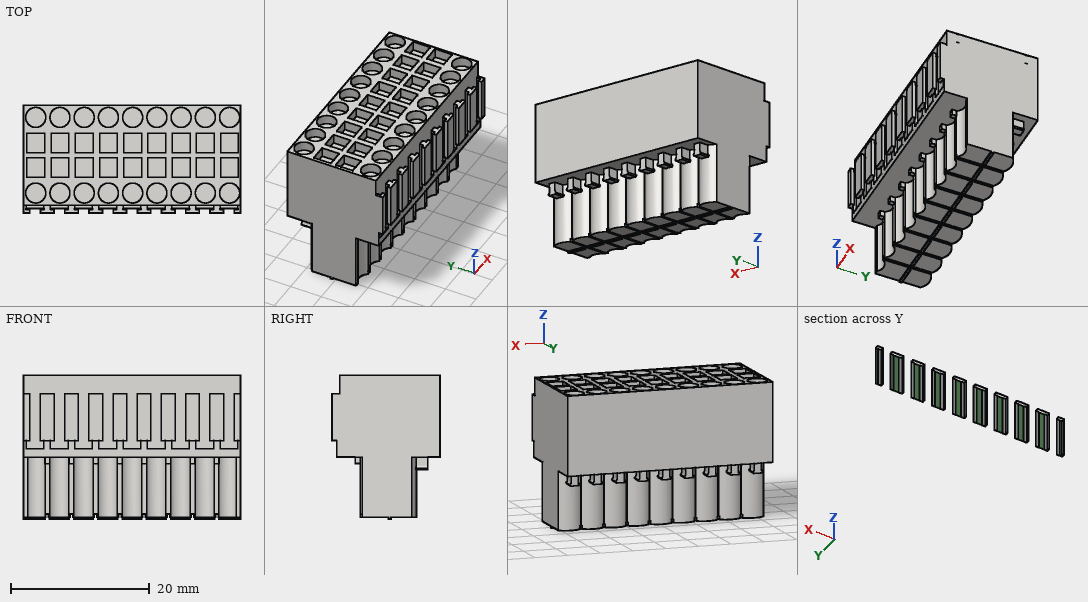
import cadquery as cq


poles = 9
length = 31.4
end_trim = 0.1
pitch = (length + end_trim) / poles
pole_xs = [(i - (poles - 1) / 2) * pitch for i in range(poles)]
wall_xs = [(i - poles / 2) * pitch for i in range(poles + 1)]
inner_wall_xs = wall_xs[1:-1]

total_height = 20.8
keel_height = 0.22
body_height = 11.85
body_bottom = total_height - body_height
plug_height = body_bottom - keel_height

body_depth = 14.5
body_front = -body_depth / 2

opening_shift = 0.1
opening_depth = 1.5
wire_hole_diameter = 2.9
wire_row_y = 5.45
test_slot_width = 2.57
test_slot_depth_y = 2.8
test_row_y = 1.8

total_depth = 15.6
lip_depth = 0.45
rail_head_depth = 0.53
neck_depth = total_depth - body_depth - rail_head_depth
rail_top = total_height - 2.67
rail_head_bottom = total_height - 9.48
channel_floor = total_height - 10.6
channel_width = 2.57
rail_head_width = 1.98

plug_front = -4.27
plug_back = 3.2
end_step_width = 0.63
end_step_depth = 0.28
scallop_radius = 1.65
scallop_depth = 0.75
end_scallop_shift = 0.1
lobe_width = pitch - end_trim
lobe_depth = 0.65
keel_width_y = 0.4
keel_gap = 0.63
notch_width = 0.35
notch_height = 0.47

rib_width = 0.7
rib_projection = 0.72
rib_height = 0.95

foot_back = 5.5
foot_web_width = 1.07
foot_width = 1.5
foot_flare_start = 1.2
foot_flare_end = 1.6
foot_height = 1.82
foot_base_width = 1.2


def block(x_range, y_range, z_range):
    """Box that fills the given (low, high) range along each axis."""
    lows, highs = zip(x_range, y_range, z_range)
    sizes = [high - low for low, high in zip(lows, highs)]
    return cq.Workplane("XY").box(*sizes, centered=False).translate(lows)


def centred(middle, width):
    return (middle - width / 2, middle + width / 2)


full_length = centred(0, length)


def make_body():
    body = block(full_length, centred(0, body_depth), (body_bottom, total_height))
    top = cq.Workplane("XY").workplane(offset=total_height)
    wire_points = [(x + opening_shift, y) for x in pole_xs for y in (-wire_row_y, wire_row_y)]
    test_points = [(x + opening_shift, y) for x in pole_xs for y in (-test_row_y, test_row_y)]
    wire_holes = top.pushPoints(wire_points).circle(wire_hole_diameter / 2).extrude(-opening_depth)
    test_slots = top.pushPoints(test_points).rect(test_slot_width, test_slot_depth_y).extrude(-opening_depth)
    return body.cut(wire_holes).cut(test_slots)


def make_rails():
    """Lip along the foot of the housing front, with a T-shaped rail rising over each wall between poles."""
    lip_front = body_front - lip_depth
    neck_front = body_front - neck_depth
    rail_front = neck_front - rail_head_depth
    rails = block(full_length, (lip_front, body_front), (body_bottom, rail_head_bottom))
    rails = rails.union(block(full_length, (neck_front, body_front), (rail_head_bottom, rail_top)))
    for x in pole_xs:
        channel_x = centred(x, channel_width)
        rails = rails.cut(block(channel_x, (neck_front, body_front), (channel_floor, rail_top)))
    for x in wall_xs:
        left, right = centred(x, rail_head_width)
        head_x = (max(left, -length / 2), min(right, length / 2))
        rails = rails.union(block(head_x, (rail_front, neck_front), (rail_head_bottom, rail_top)))
    return rails


def make_plug():
    plug = block(full_length, (plug_front, plug_back), (keel_height, body_bottom))
    base = cq.Workplane("XY").workplane(offset=keel_height)

    for x in pole_xs:
        left, right = centred(x, lobe_width)
        lobe = (
            base.moveTo(left, plug_back)
            .threePointArc((x, plug_back + lobe_depth), (right, plug_back))
            .lineTo(right, 0)
            .lineTo(left, 0)
            .close()
            .extrude(plug_height)
        )
        plug = plug.union(lobe)

    scallop_xs = [pole_xs[0] + end_scallop_shift, *pole_xs[1:-1], pole_xs[-1] - end_scallop_shift]
    scallop_y = plug_front + scallop_depth - scallop_radius
    scallop_points = [(x, scallop_y) for x in scallop_xs]
    scallops = base.pushPoints(scallop_points).circle(scallop_radius).extrude(plug_height)
    plug = plug.cut(scallops)

    for end_x in (-length / 2, length / 2):
        step_x = centred(end_x, 2 * end_step_width)
        step_y = (plug_front, plug_front + end_step_depth)
        plug = plug.cut(block(step_x, step_y, (keel_height, body_bottom)))

    keel_y = centred(0, keel_width_y)
    plug = plug.union(block(full_length, keel_y, (0, keel_height)))
    for x in inner_wall_xs:
        notch_z = (keel_height, keel_height + notch_height)
        plug = plug.cut(block(centred(x, keel_gap), keel_y, (0, keel_height)))
        plug = plug.cut(block(centred(x, notch_width), full_length, notch_z))
    return plug


def make_rib(x):
    rib_y = (plug_front - rib_projection, plug_front)
    return block(centred(x, rib_width), rib_y, (body_bottom - rib_height, body_bottom))


def make_foot(x):
    """Web hanging from the housing whose lower end flares out into a wider foot."""
    return (
        cq.Workplane("XZ", origin=(x, foot_back, body_bottom))
        .lineTo(foot_web_width / 2, 0)
        .lineTo(foot_web_width / 2, -foot_flare_start)
        .tangentArcPoint((foot_width / 2, -foot_flare_end), relative=False)
        .lineTo(foot_base_width / 2, -foot_height)
        .lineTo(0, -foot_height)
        .mirrorY()
        .extrude(foot_back - plug_back)
    )


result = make_body().union(make_rails()).union(make_plug())
for x in inner_wall_xs:
    result = result.union(make_rib(x))
for x in pole_xs:
    result = result.union(make_foot(x))